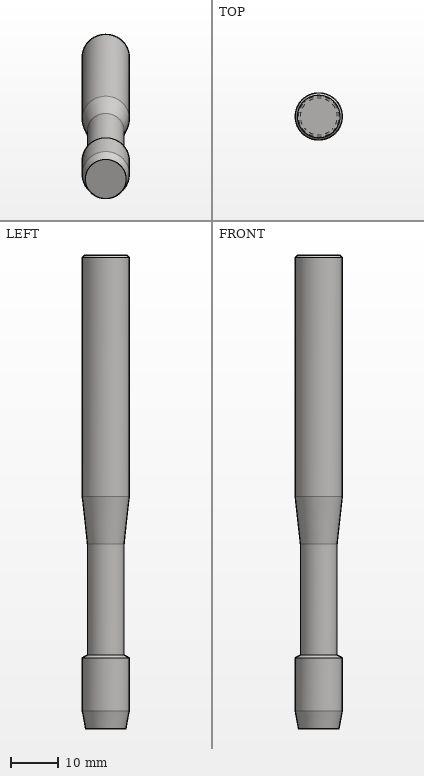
import cadquery as cq

total_length = 100.0
body_radius = 5.0

tip_radius = 4.3
lead_taper_height = 3.8
head_shoulder_z = 15.0
head_top_z = 15.6

neck_radius = 3.9
shank_taper_length = 10.0
shank_taper_top_z = 49.0
shank_taper_bottom_z = shank_taper_top_z - shank_taper_length
end_chamfer = 0.5


def revolve_profile(outline):
    """Turn a list of (radius, height) points into a solid around the Z axis."""
    bottom_z = outline[0][1]
    top_z = outline[-1][1]
    profile = cq.Workplane("XZ").polyline([(0, bottom_z), *outline, (0, top_z)]).close()
    return profile.revolve(360, (0, 0, 0), (0, 1, 0))


def make_head():
    """Cylindrical head with a tapered lead and a conical shoulder that narrows to the neck."""
    return revolve_profile([
        (tip_radius, 0),
        (body_radius, lead_taper_height),
        (body_radius, head_shoulder_z),
        (neck_radius, head_top_z),
    ])


def make_shank():
    """Slim neck on the head, widening through a cone to the full shank, with a chamfered end."""
    return revolve_profile([
        (neck_radius, head_top_z),
        (neck_radius, shank_taper_bottom_z),
        (body_radius, shank_taper_top_z),
        (body_radius, total_length - end_chamfer),
        (body_radius - end_chamfer, total_length),
    ])


head = make_head()
shank = make_shank()

result = cq.Compound.makeCompound([head.val(), shank.val()])